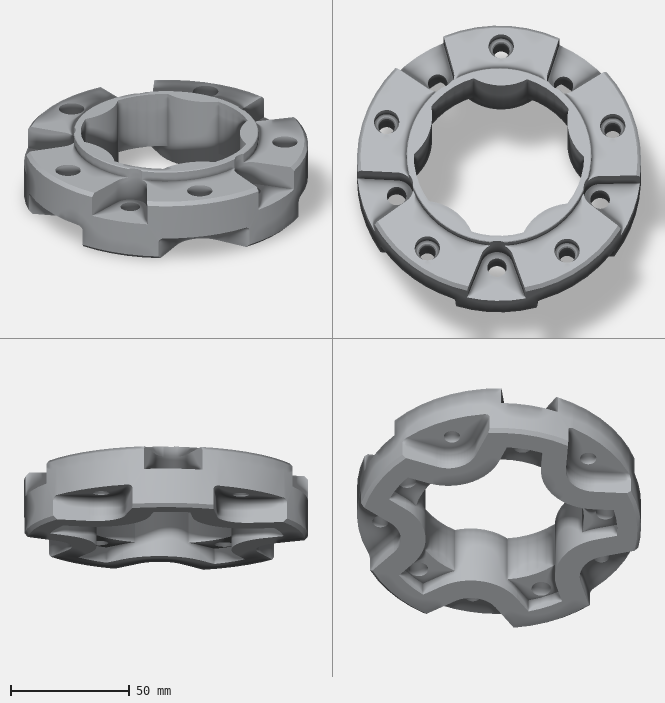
import cadquery as cq
import math

OUTER_RADIUS = 60.0
BORE_RADIUS = 36.0
TOTAL_HEIGHT = 31.0
COLLAR_HEIGHT = 4.4
BODY_HEIGHT = TOTAL_HEIGHT - COLLAR_HEIGHT
COLLAR_RADIUS = 39.0
RIM_CHAMFER = 1.5
COLLAR_CHAMFER = 0.3

REPEATS = 5
PITCH_ANGLE = 360.0 / REPEATS
POCKET_START_ANGLE = 0.0
SLOT_START_ANGLE = PITCH_ANGLE / 2

SLOT_CENTER = 45.2
SLOT_END_RADIUS = 7.0
SLOT_HALF_FLARE = 20.0
SLOT_DEPTH = 10.2
SLOT_FLOOR = BODY_HEIGHT - SLOT_DEPTH
SLOT_HOLE_DIAMETER = 8.2

POCKET_CENTER = 54.2
POCKET_END_RADIUS = 12.5
POCKET_HALF_FLARE = 45.0
POCKET_HEIGHT = 10.0
POCKET_FILLET = 2.0

POCKET_WALL = 10.5
LOBE_RADIUS = POCKET_END_RADIUS + POCKET_WALL

RECESS_RADIUS = 50.0
RECESS_HEIGHT = 6.6

BOLT_CENTER = 50.2
BOLT_HOLE_DIAMETER = 6.9
COUNTERBORE_DIAMETER = 10.7
COUNTERBORE_DEPTH = 5.5
BOLT_CHAMFER = 0.5
CHAMFER_ANGLE = 45.0

CUT_MARGIN = 10.0


def cut_around(body, cutter, start_angle):
    """Cut the cutter, made on the +X side, from the body at every pitch around Z."""
    for index in range(REPEATS):
        angle = start_angle + index * PITCH_ANGLE
        body = body.cut(cutter.rotate((0, 0, 0), (0, 0, 1), angle))
    return body


def flared_prism(center, end_radius, half_flare, bottom, top):
    """Prism with a round end facing the axis and tangent walls opening outward."""
    flare = math.radians(half_flare)
    tangent_x = center - end_radius * math.sin(flare)
    tangent_y = end_radius * math.cos(flare)
    far_x = OUTER_RADIUS + CUT_MARGIN
    far_y = tangent_y + (far_x - tangent_x) * math.tan(flare)
    return (
        cq.Workplane("XY")
        .workplane(offset=bottom)
        .moveTo(far_x, -far_y)
        .lineTo(tangent_x, -tangent_y)
        .threePointArc((center - end_radius, 0), (tangent_x, tangent_y))
        .lineTo(far_x, far_y)
        .close()
        .extrude(top - bottom)
    )


def vertical_cylinder(center_x, radius, bottom, top):
    """Cylinder parallel to Z whose axis crosses the X axis at center_x."""
    base = cq.Workplane("XY").workplane(offset=bottom).center(center_x, 0)
    return base.circle(radius).extrude(top - bottom)


def make_ring():
    """Solid disc and collar, bored and recessed around the pocket walls."""
    body = vertical_cylinder(0, OUTER_RADIUS, 0, BODY_HEIGHT).edges().chamfer(RIM_CHAMFER)
    collar = vertical_cylinder(0, COLLAR_RADIUS, 0, TOTAL_HEIGHT).edges(">Z").chamfer(COLLAR_CHAMFER)
    bore = vertical_cylinder(0, BORE_RADIUS, 0, TOTAL_HEIGHT)
    recess = vertical_cylinder(0, RECESS_RADIUS, 0, RECESS_HEIGHT)
    pocket_wall = flared_prism(POCKET_CENTER, LOBE_RADIUS, POCKET_HALF_FLARE, 0, TOTAL_HEIGHT)
    opening = cut_around(bore.union(recess), pocket_wall, POCKET_START_ANGLE)
    return body.union(collar).cut(opening)


def make_slot():
    """Upper slot with the plain hole through its floor."""
    top = TOTAL_HEIGHT + CUT_MARGIN
    slot = flared_prism(SLOT_CENTER, SLOT_END_RADIUS, SLOT_HALF_FLARE, SLOT_FLOOR, top)
    hole = vertical_cylinder(SLOT_CENTER, SLOT_HOLE_DIAMETER / 2, -CUT_MARGIN, top)
    return slot.union(hole)


def make_pocket():
    """Lower pocket with rounded ceiling edges."""
    pocket = flared_prism(POCKET_CENTER, POCKET_END_RADIUS, POCKET_HALF_FLARE, -CUT_MARGIN, POCKET_HEIGHT)
    return pocket.edges(">Z").edges("not >X").fillet(POCKET_FILLET)


def make_bolt_hole():
    """Counterbored hole with a chamfered mouth on the counterbore floor."""
    floor = BODY_HEIGHT - COUNTERBORE_DEPTH
    hole = vertical_cylinder(BOLT_CENTER, BOLT_HOLE_DIAMETER / 2, 0, floor)
    counterbore = vertical_cylinder(BOLT_CENTER, COUNTERBORE_DIAMETER / 2, floor, BODY_HEIGHT)
    mouth = (
        cq.Workplane("XY")
        .workplane(offset=floor)
        .center(BOLT_CENTER, 0)
        .circle(BOLT_HOLE_DIAMETER / 2 + BOLT_CHAMFER)
        .extrude(-BOLT_CHAMFER, taper=CHAMFER_ANGLE)
    )
    return hole.union(counterbore).union(mouth)


result = make_ring()
result = cut_around(result, make_slot(), SLOT_START_ANGLE)
result = cut_around(result, make_pocket(), POCKET_START_ANGLE)
result = cut_around(result, make_bolt_hole(), POCKET_START_ANGLE)